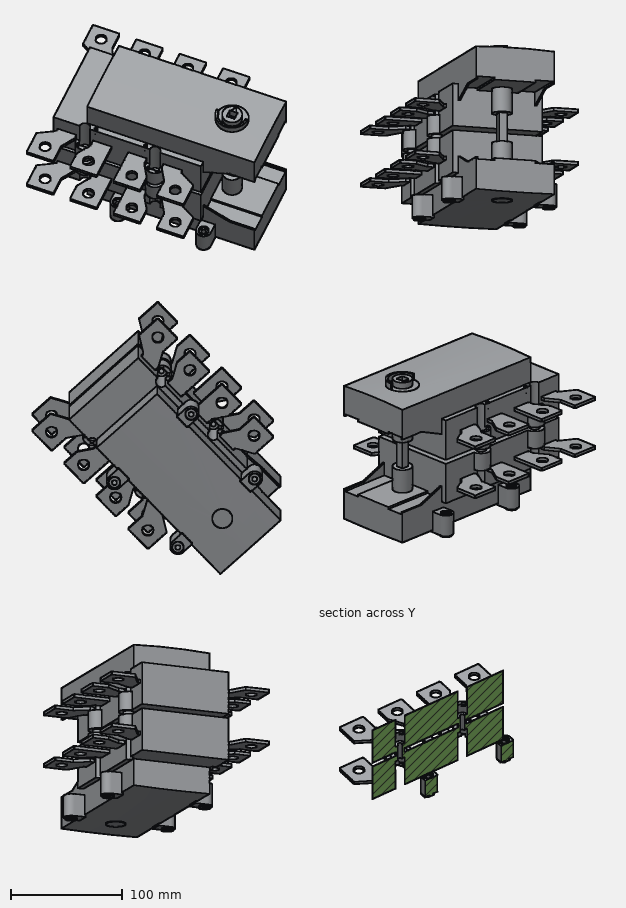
import cadquery as cq

BLOCK_LEFT = -155.4
BLOCK_RIGHT = -12.5
BLOCK_HALF_WIDTH = 42.3
BLOCK_GAP = 4.0
BLOCK_HEIGHT = 38.6
BLOCK_INNER = BLOCK_GAP / 2
BLOCK_OUTER = BLOCK_INNER + BLOCK_HEIGHT

HOUSING_LEFT = -125.0
HOUSING_RIGHT = 37.0
HOUSING_HALF_WIDTH = 36.9
HOUSING_EDGE = 65.1
UPPER_CROWN = 1.1
LOWER_CROWN = 0.5
HOUSING_OVERHANG = 35.8
HOUSING_FLOOR = 37.8
SKIRT_THICKNESS = 1.6
CENTER_PAD_HALF_WIDTH = 19.3
RAMP_START = 25.5
RAMP_END_X = 13.0

POLE_COUNT = 4
POLE_PITCH = 42.0
TERMINAL_LEFT = -167.0
TERMINAL_WIDTH = 26.0
TERMINAL_TIP = 77.0
TERMINAL_THICKNESS = 3.0
TERMINAL_LEVEL = 24.0
TERMINAL_CORNER_CHAMFER = 0.6
TERMINAL_HOLE_DIAMETER = 10.0
TERMINAL_HOLE_FROM_TIP = 12.0
TERMINAL_EMBED = 2.0
TERMINAL_ROOT = BLOCK_HALF_WIDTH - TERMINAL_EMBED
POLES_CENTER = TERMINAL_LEFT + ((POLE_COUNT - 1) * POLE_PITCH + TERMINAL_WIDTH) / 2

END_ROOT_LEFT = -151.3
END_ROOT_RIGHT = -133.1
END_LEFT_BEND_Y = 54.0
END_RIGHT_BEND_Y = 59.2
END_RIGHT_NECK_Y = 46.1
END_LEFT_NECK_Y = 45.8
END_NECK_CORNER = 1.4
INNER_ROOT_LEFT = -117.0
INNER_BEND_Y = 61.4
INNER_NECK_Y = 48.2

BOSS_POSITIONS = (-125.0, -57.0)
BOSS_DIAMETER = 17.4
BOSS_HEIGHT = 16.9
BOSS_TOP = BLOCK_INNER + BOSS_HEIGHT
GROOVE_DIAMETER = 10.0
SPACER_DIAMETER = 9.31
SCREW_HOLE_DIAMETER = 4.5
SEAT_DEPTH = 10.0
KEYWAY_DEPTH = 2.5
KEYWAY_WIDTH = 3.4
KEYWAY_REACH = 6.9
KEYWAY_ANGLES = (45, 135)

RIM_HOLE_POSITIONS = (-115.2, -67.1)
RIM_HOLE_Y = 40.3
RIM_HOLE_DIAMETER = 1.8
RIM_HOLE_DEPTH = 6.0
RIM_SEAT_DIAMETER = 3.2
RIM_SEAT_DEPTH = 0.6

FOOT_POSITIONS = (-91.0, -8.0)
FOOT_Y = 46.9
FOOT_INNER_Y = 35.5
FOOT_DIAMETER = 13.8
FOOT_TOP = -46.8
FOOT_BOTTOM = -67.0
FOOT_SEAT_DIAMETER = 8.5
FOOT_SEAT_DEPTH = 2.0
FOOT_MOUTH_DIAMETER = 9.31
FOOT_MOUTH_DEPTH = 0.5
PAD_NECK_DIAMETER = 10.0
PAD_RIM_DIAMETER = 10.72
PAD_BOTTOM = -68.7
PAD_RIM_HEIGHT = 0.6

SHAFT_SIDE = 7.5
SHAFT_BOSS_DIAMETER = 18.0
SHAFT_BOSS_INNER = 13.5
DIAL_LEVEL = 66.3
HANDLE_TOP = 72.3
HANDLE_DIAMETER = 30.0
COLLAR_INNER_DIAMETER = 26.0
HUB_DIAMETER = 18.0
SOCKET_DEPTH = 8.0
ARROW_HALF_WIDTH = 2.6
ARROW_DEPTH = 0.5


def cylinder(x, y, diameter, z_low, z_high):
    return cq.Workplane("XY", origin=(x, y, z_low)).circle(diameter / 2).extrude(z_high - z_low)


def box(x_low, x_high, y_low, y_high, z_low, z_high):
    size = (x_high - x_low, y_high - y_low, z_high - z_low)
    return cq.Workplane("XY", origin=(x_low, y_low, z_low)).box(*size, centered=False)


def with_lower_copy(shape):
    return shape.union(shape.mirror("XY"))


def with_opposite_side(shape):
    return shape.union(shape.mirror("XZ"))


def make_block():
    """Upper pole block."""
    return box(BLOCK_LEFT, BLOCK_RIGHT, -BLOCK_HALF_WIDTH, BLOCK_HALF_WIDTH, BLOCK_INNER, BLOCK_OUTER)


def make_housing(crown):
    """Upper drive housing: crowned top, side skirts ramped up to the overhang, flat pad between."""
    crown_top = HOUSING_EDGE + crown
    section = (
        cq.Workplane("YZ", origin=(HOUSING_LEFT, 0, 0))
        .moveTo(-HOUSING_HALF_WIDTH, RAMP_START)
        .lineTo(HOUSING_HALF_WIDTH, RAMP_START)
        .lineTo(HOUSING_HALF_WIDTH, HOUSING_EDGE)
        .threePointArc((0, crown_top), (-HOUSING_HALF_WIDTH, HOUSING_EDGE))
        .close()
        .extrude(HOUSING_RIGHT - HOUSING_LEFT)
    )
    under_ramp = (
        cq.Workplane("XZ", origin=(0, HOUSING_HALF_WIDTH, 0))
        .moveTo(BLOCK_RIGHT, RAMP_START)
        .lineTo(RAMP_END_X, HOUSING_OVERHANG)
        .lineTo(HOUSING_RIGHT, HOUSING_OVERHANG)
        .lineTo(HOUSING_RIGHT, RAMP_START)
        .close()
        .extrude(2 * HOUSING_HALF_WIDTH)
    )
    skirt_inner = HOUSING_HALF_WIDTH - SKIRT_THICKNESS
    recess = box(BLOCK_RIGHT, HOUSING_RIGHT, -skirt_inner, skirt_inner, RAMP_START, HOUSING_FLOOR)
    pad_side = CENTER_PAD_HALF_WIDTH
    pad = box(BLOCK_RIGHT, HOUSING_RIGHT, -pad_side, pad_side, HOUSING_OVERHANG, HOUSING_FLOOR)
    return section.cut(under_ramp).cut(recess).union(pad)


def terminal_plate(outline, left):
    """Plate with chamfered tip corners and a connection hole centred in its width."""
    bottom = TERMINAL_LEVEL - TERMINAL_THICKNESS / 2
    top = bottom + TERMINAL_THICKNESS
    plate = cq.Workplane("XY", origin=(0, 0, bottom)).polyline(outline).close().extrude(top - bottom)
    plate = plate.faces(">Y").edges("|Z").chamfer(TERMINAL_CORNER_CHAMFER)
    hole_x = left + TERMINAL_WIDTH / 2
    hole_y = TERMINAL_TIP - TERMINAL_HOLE_FROM_TIP
    return plate.cut(cylinder(hole_x, hole_y, TERMINAL_HOLE_DIAMETER, bottom, top))


def make_end_terminal():
    """Leftmost terminal: its root steps inwards to clear the end of the block."""
    right = TERMINAL_LEFT + TERMINAL_WIDTH
    return terminal_plate([
        (TERMINAL_LEFT, TERMINAL_TIP),
        (right, TERMINAL_TIP),
        (right, END_RIGHT_BEND_Y),
        (END_ROOT_RIGHT, END_RIGHT_NECK_Y),
        (END_ROOT_RIGHT, TERMINAL_ROOT),
        (END_ROOT_LEFT, TERMINAL_ROOT),
        (END_ROOT_LEFT, END_LEFT_NECK_Y - END_NECK_CORNER),
        (END_ROOT_LEFT - END_NECK_CORNER, END_LEFT_NECK_Y),
        (TERMINAL_LEFT, END_LEFT_BEND_Y),
    ], TERMINAL_LEFT)


def make_inner_terminal():
    """Second terminal: narrowed on its left side to clear the clamping boss."""
    left = TERMINAL_LEFT + POLE_PITCH
    right = left + TERMINAL_WIDTH
    return terminal_plate([
        (left, TERMINAL_TIP),
        (right, TERMINAL_TIP),
        (right, TERMINAL_ROOT),
        (INNER_ROOT_LEFT, TERMINAL_ROOT),
        (INNER_ROOT_LEFT, INNER_NECK_Y),
        (left, INNER_BEND_Y),
    ], left)


def make_terminals():
    """All upper terminals, symmetric about the middle of the poles and about Y = 0."""
    left_pair = make_end_terminal().union(make_inner_terminal())
    right_pair = left_pair.mirror("YZ", (POLES_CENTER, 0, 0))
    return with_opposite_side(left_pair.union(right_pair))


def add_clamping_bosses(body):
    """Bosses on the upper block walls, with a groove and a keyed seat above each."""
    bosses = cq.Workplane("XY")
    cuts = cq.Workplane("XY")
    for x in BOSS_POSITIONS:
        bosses = bosses.union(cylinder(x, BLOCK_HALF_WIDTH, BOSS_DIAMETER, BLOCK_INNER, BOSS_TOP))
        seat_floor = BOSS_TOP - SEAT_DEPTH
        cuts = cuts.union(cylinder(x, BLOCK_HALF_WIDTH, GROOVE_DIAMETER, seat_floor, BLOCK_OUTER))
        cuts = cuts.union(cylinder(x, BLOCK_HALF_WIDTH, SCREW_HOLE_DIAMETER, BLOCK_INNER, seat_floor))
        for angle in KEYWAY_ANGLES:
            half = KEYWAY_WIDTH / 2
            keyway = box(0, KEYWAY_REACH, -half, half, BOSS_TOP - KEYWAY_DEPTH, BOSS_TOP)
            keyway = keyway.rotate((0, 0, 0), (0, 0, 1), angle)
            cuts = cuts.union(keyway.translate((x, BLOCK_HALF_WIDTH, 0)))
    return body.union(with_opposite_side(bosses)).cut(with_opposite_side(cuts))


def make_spacers():
    """Bored spacers that join the upper and lower bosses across the gap."""
    spacers = cq.Workplane("XY")
    for x in BOSS_POSITIONS:
        spacer = cylinder(x, BLOCK_HALF_WIDTH, SPACER_DIAMETER, -BLOCK_INNER, BLOCK_INNER)
        bore = cylinder(x, BLOCK_HALF_WIDTH, SCREW_HOLE_DIAMETER, -BLOCK_INNER, BLOCK_INNER)
        spacers = spacers.union(spacer.cut(bore))
    return with_opposite_side(spacers)


def make_rim_holes():
    seat_floor = BLOCK_OUTER - RIM_SEAT_DEPTH
    hole_floor = BLOCK_OUTER - RIM_HOLE_DEPTH
    holes = cq.Workplane("XY")
    for x in RIM_HOLE_POSITIONS:
        holes = holes.union(cylinder(x, RIM_HOLE_Y, RIM_HOLE_DIAMETER, hole_floor, BLOCK_OUTER))
        holes = holes.union(cylinder(x, RIM_HOLE_Y, RIM_SEAT_DIAMETER, seat_floor, BLOCK_OUTER))
    return with_opposite_side(holes)


def make_foot(x):
    """Round-ended lug on the lower housing with a necked pad under it."""
    radius = FOOT_DIAMETER / 2
    pad_rim_top = PAD_BOTTOM + PAD_RIM_HEIGHT
    foot = cylinder(x, FOOT_Y, FOOT_DIAMETER, FOOT_BOTTOM, FOOT_TOP)
    foot = foot.union(box(x - radius, x + radius, FOOT_INNER_Y, FOOT_Y, FOOT_BOTTOM, FOOT_TOP))
    foot = foot.union(cylinder(x, FOOT_Y, PAD_NECK_DIAMETER, pad_rim_top, FOOT_BOTTOM))
    foot = foot.union(cylinder(x, FOOT_Y, PAD_RIM_DIAMETER, PAD_BOTTOM, pad_rim_top))
    foot = foot.cut(cylinder(x, FOOT_Y, SCREW_HOLE_DIAMETER, PAD_BOTTOM, FOOT_TOP))
    foot = foot.cut(cylinder(x, FOOT_Y, FOOT_SEAT_DIAMETER, FOOT_TOP - FOOT_SEAT_DEPTH, FOOT_TOP))
    return foot.cut(cylinder(x, FOOT_Y, FOOT_MOUTH_DIAMETER, FOOT_TOP - FOOT_MOUTH_DEPTH, FOOT_TOP))


def make_feet():
    feet = cq.Workplane("XY")
    for x in FOOT_POSITIONS:
        feet = feet.union(make_foot(x))
    return with_opposite_side(feet)


def make_shaft():
    """Square shaft with a round boss running into each housing."""
    half = SHAFT_SIDE / 2
    shaft = box(-half, half, -half, half, -SHAFT_BOSS_INNER, SHAFT_BOSS_INNER)
    return shaft.union(with_lower_copy(cylinder(0, 0, SHAFT_BOSS_DIAMETER, SHAFT_BOSS_INNER, DIAL_LEVEL)))


def add_handle(body):
    """Dial disc with a hub, a half-round collar on the -Y side and a square socket."""
    radius = HANDLE_DIAMETER / 2
    half = SHAFT_SIDE / 2
    collar = cylinder(0, 0, HANDLE_DIAMETER, DIAL_LEVEL, HANDLE_TOP)
    collar = collar.cut(cylinder(0, 0, COLLAR_INNER_DIAMETER, DIAL_LEVEL, HANDLE_TOP))
    collar = collar.cut(box(-radius, radius, 0, radius, DIAL_LEVEL, HANDLE_TOP))
    handle = cylinder(0, 0, HANDLE_DIAMETER, HOUSING_EDGE, DIAL_LEVEL)
    handle = handle.union(collar).union(cylinder(0, 0, HUB_DIAMETER, DIAL_LEVEL, HANDLE_TOP))
    socket = box(-half, half, -half, half, HANDLE_TOP - SOCKET_DEPTH, HANDLE_TOP)
    arrow_tip = HUB_DIAMETER / 2
    arrow = (
        cq.Workplane("XY", origin=(0, 0, HANDLE_TOP - ARROW_DEPTH))
        .polyline([(-ARROW_HALF_WIDTH, half), (ARROW_HALF_WIDTH, half), (0, arrow_tip)])
        .close()
        .extrude(ARROW_DEPTH)
    )
    return body.union(handle).cut(socket).cut(arrow)


poles = add_clamping_bosses(make_block()).union(make_terminals())
body = with_lower_copy(poles).union(make_spacers())
body = body.union(make_housing(UPPER_CROWN)).union(make_housing(LOWER_CROWN).mirror("XY"))
body = body.union(make_shaft()).union(make_feet())
body = body.cut(make_rim_holes())
result = add_handle(body)